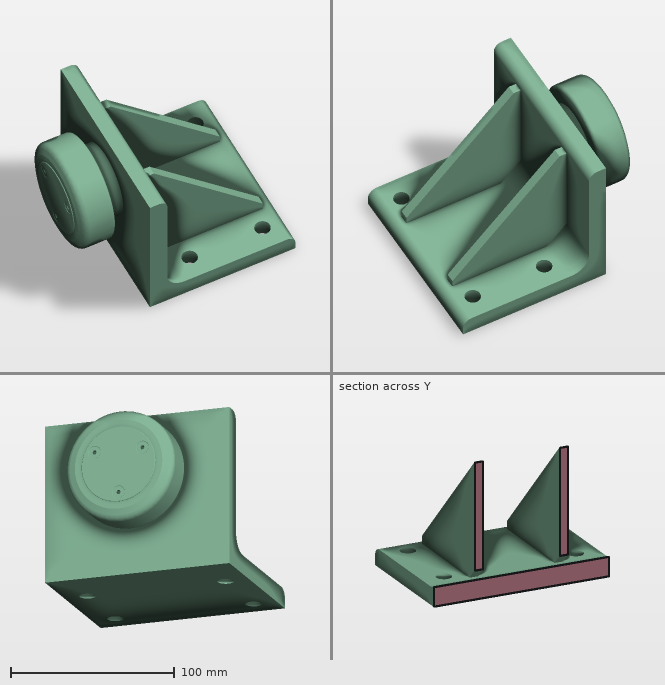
import cadquery as cq
import math

width = 120.0
leg_length = 100.0
leg_thickness = 12.0
inner_radius = 12.0
tip_radius = 6.0

rib_thickness = 6.0
rib_center_x = 29.0
rib_reach = 92.0
rib_end_height = 5.0
rib_corner_cut = 14.0

hole_diameter = 10.11
hole_x = 45.0
hole_rows_y = (35.0, 85.0)

axis_z = 60.0
pin_diameter = 48.0
pin_length = 34.0
pin_chamfer = 0.3
spacer_length = 9.8
roller_back = 10.5
roller_width = 23.0
roller_diameter = 70.1
crown_radius = 500.0
roller_back_fillet = 2.0
roller_front_fillet = 4.0
roller_face_diameter = 57.0
face_cone_angle = 20.0
neck_diameter = pin_diameter - 2 * pin_chamfer

screw_count = 3
first_screw_angle = -90.0
screw_circle_radius = 18.0
countersink_diameter = 8.3
screw_head_diameter = 7.8
head_sink = (countersink_diameter - screw_head_diameter) / 2
socket_across_flats = 2.5
socket_depth = 2.0
socket_turn = 30.0


def make_bracket():
    """L-shaped section with a rounded inner corner and rounded tips, extruded along X."""
    section = (
        cq.Workplane("YZ")
        .polyline([
            (0, 0),
            (leg_length, 0),
            (leg_length, leg_thickness),
            (leg_thickness, leg_thickness),
            (leg_thickness, leg_length),
            (0, leg_length),
        ])
        .close()
        .extrude(width / 2, both=True)
    )
    inner_corner = cq.selectors.NearestToPointSelector((0, leg_thickness, leg_thickness))
    base_tip = cq.selectors.NearestToPointSelector((0, leg_length, leg_thickness))
    wall_tip = cq.selectors.NearestToPointSelector((0, leg_thickness, leg_length))
    bracket = section.edges("|X").edges(inner_corner).fillet(inner_radius)
    bracket = bracket.edges("|X").edges(base_tip).fillet(tip_radius)
    return bracket.edges("|X").edges(wall_tip).fillet(tip_radius)


def make_rib(center_x):
    """Triangular gusset with blunt ends and its inner corner cut off at 45 degrees."""
    inside = leg_thickness
    blunt = inside + rib_end_height
    cut = inside + rib_corner_cut
    return (
        cq.Workplane("YZ", origin=(center_x, 0, 0))
        .polyline([
            (cut, inside),
            (rib_reach, inside),
            (rib_reach, blunt),
            (blunt, rib_reach),
            (inside, rib_reach),
            (inside, cut),
        ])
        .close()
        .extrude(rib_thickness / 2, both=True)
    )


def make_mounting_holes():
    """Cylinders that cut the four holes through the base."""
    positions = [(x, y) for x in (-hole_x, hole_x) for y in hole_rows_y]
    return cq.Workplane("XY").pushPoints(positions).circle(hole_diameter / 2).extrude(leg_thickness)


def axis_plane(distance):
    """Plane square to the roller axis, at a distance in front of the wall, facing -Y."""
    return cq.Workplane("XZ", origin=(0, -distance, axis_z))


def make_pin():
    """Chamfered spacer against the wall, a short neck, and the chamfered pin end in the roller."""
    spacer = axis_plane(0).circle(pin_diameter / 2).extrude(spacer_length)
    spacer = spacer.faces("<Y or >Y").chamfer(pin_chamfer)
    core = axis_plane(0).circle(neck_diameter / 2).extrude(pin_length)
    end = axis_plane(roller_back).circle(pin_diameter / 2).extrude(pin_length - roller_back)
    end = end.faces("<Y").chamfer(pin_chamfer)
    return spacer.union(core).union(end)


def make_roller():
    """Crowned roller with a rounded back edge and a rounded, coned front edge."""
    radius = roller_diameter / 2
    face_radius = roller_face_diameter / 2
    front = -(roller_back + roller_width)
    middle = -(roller_back + roller_width / 2)
    crown_drop = crown_radius - math.sqrt(crown_radius**2 - (roller_width / 2) ** 2)
    cone_start = front + (radius - face_radius) * math.tan(math.radians(face_cone_angle))
    cone_drop = crown_radius - math.sqrt(crown_radius**2 - (cone_start - middle) ** 2)
    profile = (
        cq.Workplane("XY", origin=(0, 0, axis_z))
        .moveTo(0, -roller_back)
        .lineTo(radius - crown_drop, -roller_back)
        .threePointArc((radius, middle), (radius - cone_drop, cone_start))
        .lineTo(face_radius, front)
        .lineTo(0, front)
        .close()
    )
    roller = profile.revolve(360, (0, 0, 0), (0, 1, 0))
    roller = roller.faces(">Y").edges().fillet(roller_back_fillet)
    front_corner = cq.selectors.NearestToPointSelector((0, cone_start, axis_z))
    return roller.edges(front_corner).fillet(roller_front_fillet)


def make_screw_recesses():
    """Conical rims around the sunk screw heads, each with a hexagon socket."""
    recesses = cq.Workplane("XY")
    for index in range(screw_count):
        angle = math.radians(first_screw_angle + index * 360 / screw_count)
        x = screw_circle_radius * math.cos(angle)
        z = screw_circle_radius * math.sin(angle)
        rim = (
            axis_plane(pin_length - head_sink)
            .center(x, z)
            .circle(screw_head_diameter / 2)
            .workplane(offset=head_sink)
            .circle(countersink_diameter / 2)
            .loft()
        )
        socket = (
            axis_plane(pin_length - head_sink - socket_depth)
            .center(x, z)
            .transformed(rotate=(0, 0, socket_turn))
            .polygon(6, socket_across_flats, circumscribed=True)
            .extrude(socket_depth)
        )
        recesses = recesses.add(rim.union(socket))
    return recesses.combine()


result = make_bracket()
for rib_x in (-rib_center_x, rib_center_x):
    result = result.union(make_rib(rib_x))
result = result.cut(make_mounting_holes())
result = result.union(make_pin()).union(make_roller())
result = result.cut(make_screw_recesses())